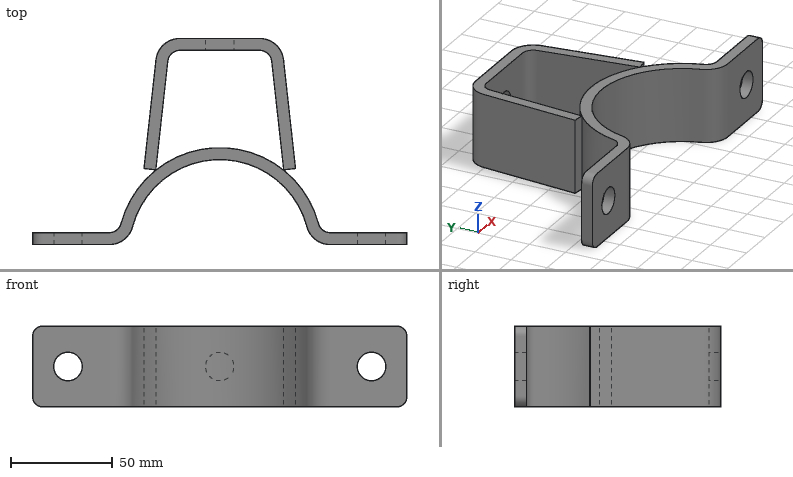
import cadquery as cq
import math

thickness = 6.0
strip_width = 40.0
bend_inner_radius = 6.0
bend_outer_radius = bend_inner_radius + thickness
hole_diameter = 14.0

clamp_length = 185.0
arch_inner_radius = 44.5
arch_outer_radius = arch_inner_radius + thickness
arch_center_y = -2.5
hole_spacing = 150.0
ear_corner_radius = 5.0

yoke_back_y = 102.0
yoke_flat_width = 39.3
leg_splay = math.radians(6.3)


def mirrored(point):
    """Reflect a profile point across the YZ plane."""
    return (-point[0], point[1])


def polar(center, radius, angle):
    """Point at a given radius and angle (radians, from +X) around a center."""
    return (center[0] + radius * math.cos(angle), center[1] + radius * math.sin(angle))


def through_holes(x_positions):
    """Round cutters along Y, long enough to pass through either body."""
    return (
        cq.Workplane("XZ", origin=(0, -yoke_back_y, 0))
        .pushPoints([(x, 0) for x in x_positions])
        .circle(hole_diameter / 2)
        .extrude(-3 * yoke_back_y)
    )


def make_clamp():
    bend_center_y = thickness + bend_inner_radius
    bend_angle = math.asin((bend_center_y - arch_center_y) / (arch_outer_radius + bend_inner_radius))
    bend_x = (arch_outer_radius + bend_inner_radius) * math.cos(bend_angle)
    bend_center = (bend_x, bend_center_y)
    arch_center = (0, arch_center_y)
    ear_end_x = clamp_length / 2

    joint_angle = math.pi + bend_angle
    mid_angle = (joint_angle + 1.5 * math.pi) / 2

    arch_joint_outer = polar(arch_center, arch_outer_radius, bend_angle)
    arch_joint_inner = polar(arch_center, arch_inner_radius, bend_angle)
    bend_mid_inner = polar(bend_center, bend_inner_radius, mid_angle)
    bend_mid_outer = polar(bend_center, bend_outer_radius, mid_angle)

    clamp = (
        cq.Workplane("XY", origin=(0, 0, -strip_width / 2))
        .moveTo(ear_end_x, 0)
        .lineTo(ear_end_x, thickness)
        .lineTo(bend_x, thickness)
        .threePointArc(bend_mid_inner, arch_joint_outer)
        .threePointArc((0, arch_center_y + arch_outer_radius), mirrored(arch_joint_outer))
        .threePointArc(mirrored(bend_mid_inner), (-bend_x, thickness))
        .lineTo(-ear_end_x, thickness)
        .lineTo(-ear_end_x, 0)
        .lineTo(-bend_x, 0)
        .threePointArc(mirrored(bend_mid_outer), mirrored(arch_joint_inner))
        .threePointArc((0, arch_center_y + arch_inner_radius), arch_joint_inner)
        .threePointArc(bend_mid_outer, (bend_x, 0))
        .close()
        .extrude(strip_width)
    )
    clamp = clamp.edges("|Y and (<X or >X)").fillet(ear_corner_radius)
    return clamp.cut(through_holes([-hole_spacing / 2, hole_spacing / 2]))


def make_yoke():
    bend_x = yoke_flat_width / 2
    bend_center = (bend_x, yoke_back_y - bend_outer_radius)
    mid_angle = (leg_splay + math.pi / 2) / 2

    leg_start_outer = polar(bend_center, bend_outer_radius, leg_splay)
    leg_start_inner = polar(bend_center, bend_inner_radius, leg_splay)
    bend_mid_outer = polar(bend_center, bend_outer_radius, mid_angle)
    bend_mid_inner = polar(bend_center, bend_inner_radius, mid_angle)

    leg_direction = (math.sin(leg_splay), -math.cos(leg_splay))
    start_to_center = (-leg_start_inner[0], arch_center_y - leg_start_inner[1])
    along = start_to_center[0] * leg_direction[0] + start_to_center[1] * leg_direction[1]
    offset = start_to_center[0] * leg_direction[1] - start_to_center[1] * leg_direction[0]
    leg_length = along - math.sqrt(arch_outer_radius**2 - offset**2)

    def leg_end(start):
        return (start[0] + leg_length * leg_direction[0], start[1] + leg_length * leg_direction[1])

    leg_end_outer = leg_end(leg_start_outer)
    leg_end_inner = leg_end(leg_start_inner)
    back_inner_y = yoke_back_y - thickness

    yoke = (
        cq.Workplane("XY", origin=(0, 0, -strip_width / 2))
        .moveTo(*leg_end_inner)
        .lineTo(*leg_end_outer)
        .lineTo(*leg_start_outer)
        .threePointArc(bend_mid_outer, (bend_x, yoke_back_y))
        .lineTo(-bend_x, yoke_back_y)
        .threePointArc(mirrored(bend_mid_outer), mirrored(leg_start_outer))
        .lineTo(*mirrored(leg_end_outer))
        .lineTo(*mirrored(leg_end_inner))
        .lineTo(*mirrored(leg_start_inner))
        .threePointArc(mirrored(bend_mid_inner), (-bend_x, back_inner_y))
        .lineTo(bend_x, back_inner_y)
        .threePointArc(bend_mid_inner, leg_start_inner)
        .close()
        .extrude(strip_width)
    )
    return yoke.cut(through_holes([0]))


clamp = make_clamp()
yoke = make_yoke()
result = cq.Compound.makeCompound([clamp.val(), yoke.val()])